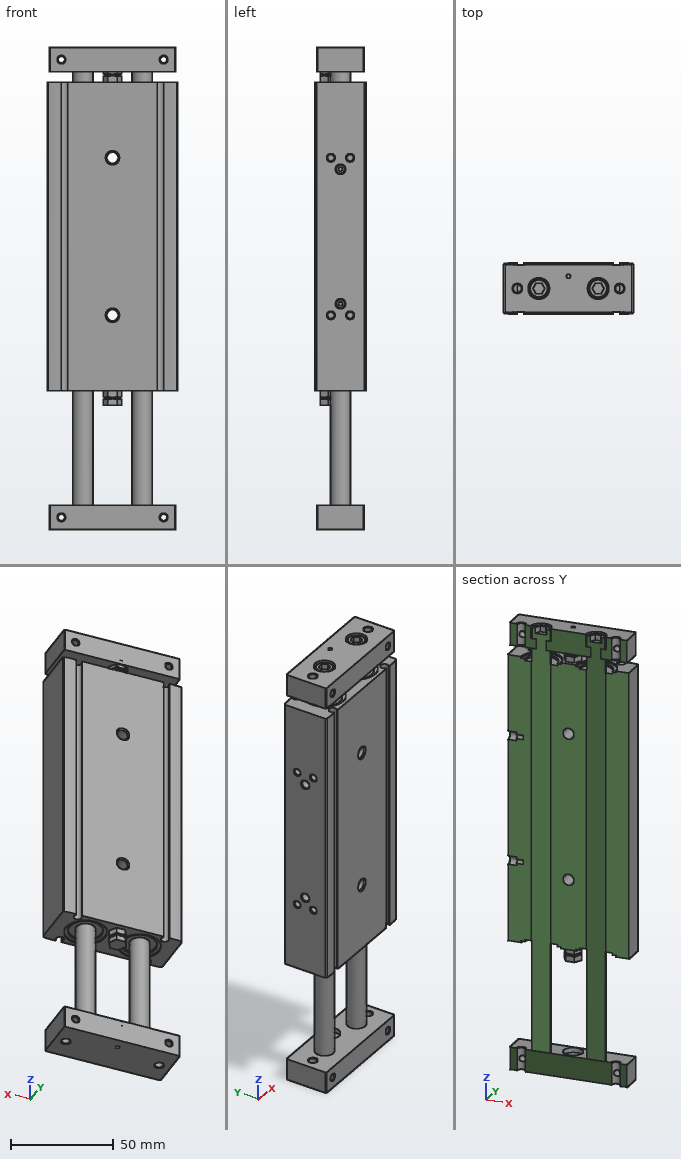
import cadquery as cq
import math

housing_width = 64.0
housing_depth = 25.0
housing_length = 151.0
front_y = -housing_depth / 2
left_x = -housing_width / 2
middle_z = housing_length / 2

edge_arc_x = 28.0
edge_arc_drop = 0.25
edge_chamfer = 0.7

slot_x = 23.4
slot_diameter = 4.0
slot_opening = 3.2
slot_lip_depth = 0.8
slot_centre_depth = slot_lip_depth + math.sqrt(slot_diameter**2 - slot_opening**2) / 2

mount_spacing = 77.0
mount_hole_diameter = 5.5
mount_rim_diameter = 6.88
side_hole_diameter = 3.24
side_hole_rim_diameter = 4.13
side_hole_spacing = 9.4
side_hole_depth = 6.0
port_spacing = 65.8
port_diameter = 4.13
port_rim_diameter = 5.0
port_depth = 4.5
port_passage_diameter = 2.0
port_passage_depth = 8.0

rod_x = 14.5
rod_diameter = 10.0
recess_diameter = 21.0
recess_depth = 0.8
inner_recess_diameter = 17.2
inner_recess_depth = 1.8

plate_width = 62.0
plate_depth = 23.2
plate_thickness = 12.0
plate_chamfer = 0.5
upper_gap = 5.0
total_length = 235.8
upper_plate_z = housing_length + upper_gap
lower_plate_z = upper_plate_z + plate_thickness - total_length
plate_hole_x = 25.0
plate_front_hole_diameter = 3.24
plate_front_rim_diameter = 4.13
plate_end_hole_diameter = 4.13
plate_end_rim_diameter = 4.92
vent_diameter = 2.0

counterbore_diameter = 10.5
counterbore_depth = 6.5
head_diameter = 9.8
head_height = 6.0
head_chamfer = 0.7
shank_diameter = 5.0
socket_flats = 5.0
socket_depth = 3.0

stopper_y = 6.0
stopper_diameter = 5.0
stopper_thread_depth = 10.0
stopper_neck_diameter = 6.88
hex_flats = 8.0
hex_height = 3.1
hex_gap = 0.8
hex_corners = hex_flats / math.cos(math.radians(30))
hex_chamfer_width = (hex_corners - hex_flats) / 2
hex_chamfer_height = hex_chamfer_width * math.tan(math.radians(30))
stopper_projection = 2 * hex_height + hex_gap
stopper_clearance_diameter = 10.0
stopper_clearance_depth = 2.5


def cylinder(x, y, z, diameter, height):
    """Upright cylinder standing on height z."""
    return cq.Workplane("XY", origin=(x, y, z)).circle(diameter / 2).extrude(height)


def countersunk(diameter, rim_diameter, depth, both_ends=False):
    """Upright hole cutter from Z = 0 down, with a 45-degree rim at its top or at both ends."""
    rim_width = (rim_diameter - diameter) / 2
    rim = cq.Workplane("XY").circle(rim_diameter / 2).extrude(-rim_width, taper=45)
    cutter = cylinder(0, 0, -depth, diameter, depth).union(rim)
    if both_ends:
        cutter = cutter.union(rim.mirror("XY").translate((0, 0, -depth)))
    return cutter


def facing_front(cutter, x, y, z):
    """Turn an upright cutter so that it enters a -Y face at the given point."""
    return cutter.rotate((0, 0, 0), (1, 0, 0), 90).translate((x, y, z))


def facing_left(cutter, y, z):
    """Turn an upright cutter so that it enters the left face of the housing."""
    return cutter.rotate((0, 0, 0), (0, 1, 0), -90).translate((left_x, y, z))


def sensor_slot(x, side):
    """Full-length slot on the front (side -1) or back (side 1) face."""
    centre_y = side * (housing_depth / 2 - slot_centre_depth)
    mouth = cq.Workplane("XY").box(slot_opening, 2 * slot_centre_depth, housing_length, (True, True, False))
    return cylinder(x, centre_y, 0, slot_diameter, housing_length).union(
        mouth.translate((x, side * housing_depth / 2, 0))
    )


def housing_blank():
    """Plain extrusion, drawn as the right back quarter and mirrored into four."""
    half_width = housing_width / 2
    half_depth = housing_depth / 2
    arc_end = (half_width - edge_chamfer, half_depth - edge_arc_drop)
    arc_middle = ((edge_arc_x + arc_end[0]) / 2, half_depth - edge_arc_drop / 4)
    return (
        cq.Workplane("XY")
        .moveTo(0, half_depth)
        .lineTo(edge_arc_x, half_depth)
        .threePointArc(arc_middle, arc_end)
        .lineTo(half_width, arc_end[1] - edge_chamfer)
        .lineTo(half_width, 0)
        .mirrorX()
        .mirrorY()
        .extrude(housing_length)
    )


def rod_passage(x):
    """Bore for one rod with a stepped recess at both ends of the housing."""
    passage = cylinder(x, 0, 0, rod_diameter, housing_length)
    steps = ((recess_diameter, recess_depth), (inner_recess_diameter, inner_recess_depth))
    for diameter, depth in steps:
        for z in (0, housing_length - depth):
            passage = passage.union(cylinder(x, 0, z, diameter, depth))
    return passage


def make_housing():
    body = housing_blank()
    for x_side in (-1, 1):
        for y_side in (-1, 1):
            body = body.cut(sensor_slot(x_side * slot_x, y_side))
        body = body.cut(rod_passage(x_side * rod_x))
    mount = countersunk(mount_hole_diameter, mount_rim_diameter, housing_depth, both_ends=True)
    side_hole = countersunk(side_hole_diameter, side_hole_rim_diameter, side_hole_depth)
    port = countersunk(port_diameter, port_rim_diameter, port_depth)
    port = port.union(cylinder(0, 0, -port_passage_depth, port_passage_diameter, port_passage_depth))
    for end in (-1, 1):
        mount_z = middle_z + end * mount_spacing / 2
        body = body.cut(facing_front(mount, 0, front_y, mount_z))
        for y_side in (-1, 1):
            body = body.cut(facing_left(side_hole, y_side * side_hole_spacing / 2, mount_z))
        body = body.cut(facing_left(port, 0, middle_z + end * port_spacing / 2))
    for z in (0, housing_length - stopper_thread_depth):
        body = body.cut(cylinder(0, stopper_y, z, stopper_diameter, stopper_thread_depth))
    return body


def make_plain_plate(z):
    """End plate with its lower face at z, with the holes that both plates share."""
    plate = cq.Workplane("XY", origin=(0, 0, z)).box(
        plate_width, plate_depth, plate_thickness, (True, True, False)
    )
    plate = plate.edges("|Z").chamfer(plate_chamfer)
    end_hole = countersunk(plate_end_hole_diameter, plate_end_rim_diameter, plate_thickness, both_ends=True)
    front_hole = countersunk(plate_front_hole_diameter, plate_front_rim_diameter, plate_depth, both_ends=True)
    for x in (-plate_hole_x, plate_hole_x):
        plate = plate.cut(end_hole.translate((x, 0, z + plate_thickness)))
        plate = plate.cut(facing_front(front_hole, x, -plate_depth / 2, z + plate_thickness / 2))
    return plate.cut(cylinder(0, stopper_y, z, vent_diameter, plate_thickness))


def make_upper_plate():
    z = upper_plate_z
    plate = make_plain_plate(z)
    plate = plate.cut(cylinder(0, stopper_y, z, stopper_clearance_diameter, stopper_clearance_depth))
    seat_z = z + plate_thickness - counterbore_depth
    for x in (-rod_x, rod_x):
        plate = plate.cut(cylinder(x, 0, z, shank_diameter, plate_thickness))
        plate = plate.cut(cylinder(x, 0, seat_z, counterbore_diameter, counterbore_depth))
    return plate


def make_lower_plate():
    clearance_z = lower_plate_z + plate_thickness - stopper_clearance_depth
    return make_plain_plate(lower_plate_z).cut(
        cylinder(0, stopper_y, clearance_z, stopper_clearance_diameter, stopper_clearance_depth)
    )


def make_rod(x):
    """Rod between the plates, with a shank and a socket head that clamp the upper plate."""
    bottom_z = lower_plate_z + plate_thickness
    seat_z = upper_plate_z + plate_thickness - counterbore_depth
    top_z = seat_z + head_height
    head = cylinder(x, 0, seat_z, head_diameter, head_height)
    head = head.faces(">Z").edges().chamfer(head_chamfer)
    socket = (
        cq.Workplane("XY", origin=(x, 0, top_z - socket_depth))
        .polygon(6, socket_flats / math.cos(math.radians(30)))
        .extrude(socket_depth)
    )
    shank = cylinder(x, 0, upper_plate_z, shank_diameter, seat_z - upper_plate_z)
    rod = cylinder(x, 0, bottom_z, rod_diameter, upper_plate_z - bottom_z)
    return rod.union(shank).union(head.cut(socket))


def chamfered_hexagon():
    """Hexagon standing on Z = 0 with the corners of its upper end chamfered."""
    prism = cq.Workplane("XY").polygon(6, hex_corners).extrude(hex_height)
    envelope = cylinder(0, 0, 0, hex_corners, hex_height)
    envelope = envelope.faces(">Z").edges().chamfer(hex_chamfer_height, hex_chamfer_width)
    return prism.intersect(envelope)


def make_upper_stopper():
    """Stopper bolt screwed down into the upper end of the housing."""
    stem = cylinder(0, 0, -stopper_thread_depth, stopper_diameter, stopper_thread_depth)
    neck = cylinder(0, 0, 0, stopper_neck_diameter, stopper_projection)
    lower_hexagon = chamfered_hexagon()
    upper_hexagon = lower_hexagon.mirror("XY").translate((0, 0, stopper_projection))
    stopper = stem.union(neck).union(lower_hexagon).union(upper_hexagon)
    return stopper.translate((0, stopper_y, housing_length))


housing = make_housing()
upper_plate = make_upper_plate()
lower_plate = make_lower_plate()
rods = [make_rod(x) for x in (-rod_x, rod_x)]
upper_stopper = make_upper_stopper()
lower_stopper = upper_stopper.mirror("XY", (0, 0, middle_z))

result = cq.Compound.makeCompound(
    [
        housing.val(),
        upper_plate.val(),
        lower_plate.val(),
        *[rod.val() for rod in rods],
        upper_stopper.val(),
        lower_stopper.val(),
    ]
)